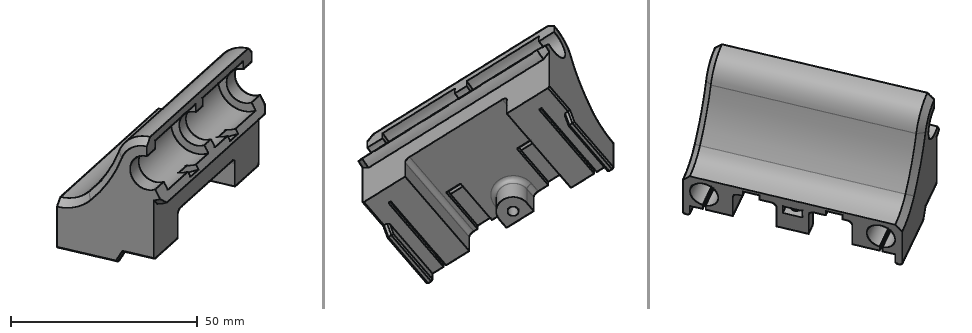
import cadquery as cq
import math

LENGTH = 62.0
TOTAL_DEPTH = 32.0
TOTAL_HEIGHT = 39.0
BACK_X = 29.15
FRONT_HEIGHT = 14.6
FLOOR_Z = 3.4
END_CHAMFER = 2.0

FOOT_WIDTH = 2.0
FOOT_DEPTH = 18.05
FOOT_BACK_ANGLE = math.radians(60)
FOOT_CHAMFER = 0.5

CRADLE_OUTER_R = 10.0
CRADLE_BORE_R = 5.0
LIP_ANGLE = 30.0
CRADLE_X = TOTAL_DEPTH - CRADLE_OUTER_R * math.sin(math.radians(LIP_ANGLE))
CRADLE_Z = TOTAL_HEIGHT - CRADLE_OUTER_R
CRADLE = (CRADLE_X, CRADLE_Z)

POCKET_R = 7.5
POCKET_LENGTH = 24.0
POCKET_Y = 13.95

LOWER_ARC_R = 12.0
MIDDLE_ARC_R = 40.0

CAVITY_WIDTH = 33.7
CAVITY_TOP = 11.9
CAVITY_FILLET = 1.5
POST_WIDTH = 9.05
POST_X = 3.2

SCREW_D = 3.0
NUT_WIDTH = 5.5
NUT_HEIGHT = 2.5
NUT_BOTTOM = 9.05

SOCKET_D = 8.0
SOCKET_Y = 25.0
SOCKET_Z = 9.0
SOCKET_DEPTH = 25.0
SLIT_WIDTH = 0.8

STRAP_Y = 11.7
STRAP_WIDTH = 4.7
STRAP_INNER_R = 7.05
STRAP_THICKNESS = 2.0
STRAP_TOP = 13.5
STRAP_RAMP_Z = 12.2
STRAP_SLOPE = math.radians(27.3)

CLEARANCE = 6.2
EDGE_MARGIN = 0.6


def polar(center, radius, angle):
    """Point around a centre, at an angle in radians from +X towards +Z."""
    return (center[0] + radius * math.cos(angle), center[1] + radius * math.sin(angle))


def direction(start, end):
    """Angle in radians of the line from start to end."""
    return math.atan2(end[1] - start[1], end[0] - start[0])


def block(x_range, z_range, width, y=0.0):
    """Box between two X and two Z limits, centred on y."""
    depth = x_range[1] - x_range[0]
    height = z_range[1] - z_range[0]
    box = cq.Workplane("XY").box(depth, width, height, centered=(False, True, False))
    return box.translate((x_range[0], y, z_range[0]))


def tube(radius, length, y=0.0):
    """Cylinder on the cradle axis, centred on y."""
    return cq.Workplane("XZ", origin=(CRADLE_X, y, CRADLE_Z)).circle(radius).extrude(length / 2, both=True)


def make_body():
    lower_center = (0, FRONT_HEIGHT + LOWER_ARC_R)

    lower_to_middle = MIDDLE_ARC_R - LOWER_ARC_R
    middle_to_cradle = MIDDLE_ARC_R + CRADLE_OUTER_R
    lower_to_cradle = math.dist(lower_center, CRADLE)
    corner_angle = math.acos(
        (lower_to_middle**2 + lower_to_cradle**2 - middle_to_cradle**2)
        / (2 * lower_to_middle * lower_to_cradle)
    )
    middle_angle = direction(lower_center, CRADLE) + corner_angle
    middle_center = polar(lower_center, lower_to_middle, middle_angle)

    lower_end_angle = middle_angle - math.pi
    lower_mid_angle = (lower_end_angle - math.pi / 2) / 2
    lower_joint = polar(lower_center, LOWER_ARC_R, lower_end_angle)
    cradle_joint = polar(CRADLE, CRADLE_OUTER_R, direction(CRADLE, middle_center))

    body = (
        cq.Workplane("XZ")
        .moveTo(0, FRONT_HEIGHT)
        .threePointArc(polar(lower_center, LOWER_ARC_R, lower_mid_angle), lower_joint)
        .tangentArcPoint(cradle_joint, relative=False)
        .tangentArcPoint((CRADLE_X, TOTAL_HEIGHT), relative=False)
        .lineTo(*CRADLE)
        .lineTo(BACK_X, CRADLE_Z - CRADLE_BORE_R)
        .lineTo(BACK_X, FLOOR_Z)
        .lineTo(FOOT_DEPTH + FLOOR_Z / math.tan(FOOT_BACK_ANGLE), FLOOR_Z)
        .lineTo(FOOT_DEPTH, 0)
        .lineTo(0, 0)
        .close()
        .extrude(LENGTH / 2, both=True)
    )
    return body.edges("%CIRCLE").chamfer(END_CHAMFER)


def make_lip():
    """Sector of a ring with chamfered ends, from straight below the tube towards +X."""
    end = LENGTH / 2
    return (
        cq.Workplane("YZ", origin=(CRADLE_X, 0, CRADLE_Z))
        .moveTo(-end, 0)
        .lineTo(-end, END_CHAMFER - CRADLE_OUTER_R)
        .lineTo(END_CHAMFER - end, -CRADLE_OUTER_R)
        .lineTo(end - END_CHAMFER, -CRADLE_OUTER_R)
        .lineTo(end, END_CHAMFER - CRADLE_OUTER_R)
        .lineTo(end, 0)
        .close()
        .revolve(LIP_ANGLE, (0, 0, 0), (-1, 0, 0))
    )


def form_feet(body):
    """Clear the floor between the feet and chamfer the bottom edges that run front to back."""
    feet_gap = block((-CLEARANCE, BACK_X + CLEARANCE), (-CLEARANCE, FLOOR_Z), LENGTH - 2 * FOOT_WIDTH)
    body = body.cut(feet_gap)
    low = FLOOR_Z - EDGE_MARGIN
    high = FLOOR_Z + EDGE_MARGIN
    foot_edges = cq.selectors.BoxSelector((-CLEARANCE, -LENGTH, -CLEARANCE), (BACK_X, LENGTH, low))
    rear_edges = cq.selectors.BoxSelector((FOOT_DEPTH, -LENGTH, low), (BACK_X - EDGE_MARGIN, LENGTH, high))
    bottom_edges = body.edges(foot_edges + rear_edges).edges("not(|Y or |Z)")
    return bottom_edges.chamfer(FOOT_CHAMFER)


def make_cavity():
    post = block((-CLEARANCE, POST_X), (0, CAVITY_TOP), POST_WIDTH)
    post_back = cq.Workplane("XY").center(POST_X, 0).circle(POST_WIDTH / 2).extrude(CAVITY_TOP)
    cavity = block((-CLEARANCE, BACK_X + CLEARANCE), (0, CAVITY_TOP), CAVITY_WIDTH)
    return cavity.cut(post).cut(post_back).faces(">Z").edges().fillet(CAVITY_FILLET)


def make_nut_slot():
    return block((0, POST_X + NUT_WIDTH / 2), (NUT_BOTTOM, NUT_BOTTOM + NUT_HEIGHT), NUT_WIDTH)


def make_screw_hole():
    return cq.Workplane("XY").center(POST_X, 0).circle(SCREW_D / 2).extrude(NUT_BOTTOM + NUT_HEIGHT)


def make_socket(y):
    bore = cq.Workplane("YZ", origin=(0, y, SOCKET_Z)).circle(SOCKET_D / 2).extrude(SOCKET_DEPTH)
    return bore.union(block((0, SOCKET_DEPTH), (0, SOCKET_Z), SLIT_WIDTH, y))


def make_strap_channel(y):
    outer_r = STRAP_INNER_R + STRAP_THICKNESS
    strap_bottom = STRAP_TOP - STRAP_THICKNESS
    tangent_angle = STRAP_SLOPE - math.pi / 2
    end_angle = 0.0
    mid_angle = (tangent_angle + end_angle) / 2
    roof_tangent = polar(CRADLE, STRAP_INNER_R, tangent_angle)
    floor_tangent = polar(CRADLE, outer_r, tangent_angle)
    roof_bend_x = roof_tangent[0] - (roof_tangent[1] - STRAP_TOP) / math.tan(STRAP_SLOPE)
    ramp_x = floor_tangent[0] - (floor_tangent[1] - STRAP_RAMP_Z) / math.tan(STRAP_SLOPE)
    return (
        cq.Workplane("XZ", origin=(0, y, 0))
        .moveTo(-CLEARANCE, STRAP_TOP)
        .lineTo(roof_bend_x, STRAP_TOP)
        .lineTo(*roof_tangent)
        .threePointArc(polar(CRADLE, STRAP_INNER_R, mid_angle), polar(CRADLE, STRAP_INNER_R, end_angle))
        .lineTo(*polar(CRADLE, outer_r, end_angle))
        .threePointArc(polar(CRADLE, outer_r, mid_angle), floor_tangent)
        .lineTo(ramp_x, STRAP_RAMP_Z)
        .lineTo(ramp_x, strap_bottom)
        .lineTo(-CLEARANCE, strap_bottom)
        .close()
        .extrude(STRAP_WIDTH / 2, both=True)
    )


part = form_feet(make_body().union(make_lip()))
part = part.cut(tube(CRADLE_BORE_R, LENGTH))
part = part.cut(make_cavity())
part = part.cut(make_nut_slot()).cut(make_screw_hole())
for side in (-1, 1):
    part = part.cut(tube(POCKET_R, POCKET_LENGTH, side * POCKET_Y))
    part = part.cut(make_socket(side * SOCKET_Y))
    part = part.cut(make_strap_channel(side * STRAP_Y))

result = part